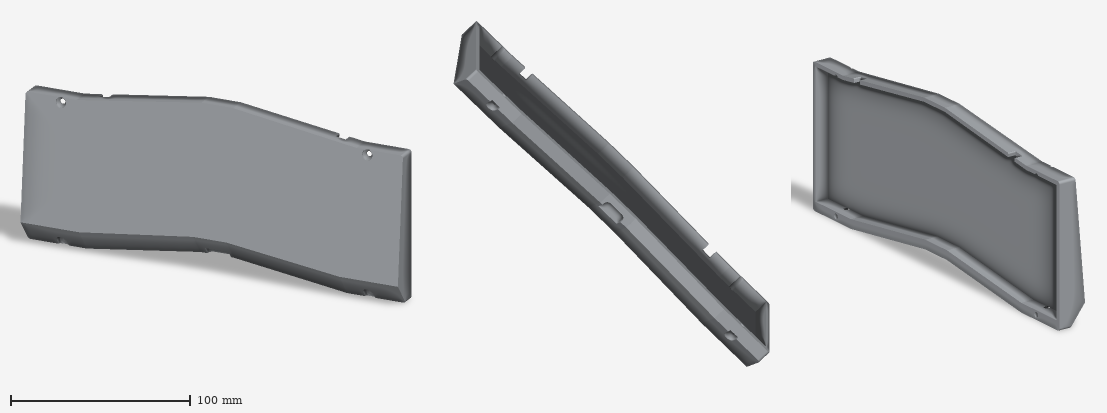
import cadquery as cq
import math

LENGTH = 233.3
HEIGHT = 100.0
MAX_DEPTH = 17.7
CORNER_RADIUS = 1.6
SHOULDER_RADIUS = 5.0
SWEEP = math.tan(math.radians(8.0))
TAPER = math.tan(math.radians(5.0))

TOP_CENTER_X = 1.5
TOP_FLAT_HALF = 9.8
TOP_FLANK_END = 86.5
BOTTOM_FLAT_HALF = 10.3
BOTTOM_FLANK_END = 80.5
SHOULDER_Z = HEIGHT - (TOP_FLANK_END - TOP_FLAT_HALF) * SWEEP
BOTTOM_RISE = 9.5

BEVEL_HEIGHT = 13.3
BOTTOM_LIP = 7.5
BEVEL_SLOPE = BEVEL_HEIGHT / (MAX_DEPTH - BOTTOM_LIP)

WALL = 2.5
BOTTOM_WALL = 5.8
RECESS_DEPTH = 8.5

SCREW_X = 94.7
TOP_SCREW_Z = SHOULDER_Z - 3.0
BOTTOM_SCREW_Z = 3.0
SCREW_DIAMETER = 3.3
HEAD_DIAMETER = 6.3
TOP_SEAT_DEPTH = 10.5
BOTTOM_SEAT_DEPTH = 6.0

NOTCH_CENTER_X = 1.9
NOTCH_OFFSET = 73.2
NOTCH_WIDTH = 5.8
NOTCH_DEPTH = 5.0
NOTCH_MOUTH_RADIUS = 0.7

POCKET_CENTER_X = 1.5
POCKET_WIDTH = 14.5
POCKET_HEIGHT = 4.2
POCKET_BACK = 3.7
POCKET_RADIUS = 2.8

MARGIN = 2.3


def winged_edge(center, half_length, flat_half, flank_end, z_end, z_middle):
    """Left-to-right points of one long edge."""
    return [
        (-half_length, z_end),
        (center - flank_end, z_end),
        (center - flat_half, z_middle),
        (center + flat_half, z_middle),
        (center + flank_end, z_end),
        (half_length, z_end),
    ]


def bottom_edge(half_length, offset):
    return winged_edge(0, half_length, BOTTOM_FLAT_HALF, BOTTOM_FLANK_END, offset, BOTTOM_RISE + offset)


def top_edge(half_length, offset):
    return winged_edge(
        TOP_CENTER_X, half_length, TOP_FLAT_HALF, TOP_FLANK_END, SHOULDER_Z - offset, HEIGHT - offset
    )


def winged_plate(side_wall, bottom_wall, top_wall, depth):
    """Plate from the back plane to the given depth, inset from the outer edges."""
    half_length = LENGTH / 2 - side_wall
    points = bottom_edge(half_length, bottom_wall) + top_edge(half_length, top_wall)[::-1]
    return cq.Workplane("XZ").polyline(points).close().extrude(depth)


def box_between(x_range, y_range, z_range):
    size = [high - low for low, high in (x_range, y_range, z_range)]
    corner = (x_range[0], y_range[0], z_range[0])
    return cq.Workplane("XY").box(*size, centered=False).translate(corner)


def tapered_envelope():
    """Wedge with a vertical back and a leaning front face."""
    z_low = -MARGIN
    z_high = HEIGHT + MARGIN

    def front_y(z):
        return -MAX_DEPTH + (z - BEVEL_HEIGHT) * TAPER

    return (
        cq.Workplane("YZ", origin=(-LENGTH / 2 - MARGIN, 0, 0))
        .polyline([(0, z_low), (front_y(z_low), z_low), (front_y(z_high), z_high), (0, z_high)])
        .close()
        .extrude(LENGTH + 2 * MARGIN)
    )


def cut_bevel(body):
    """Cut a triangular section along each stretch of the bottom edge, mitred at the bends."""
    reach = MAX_DEPTH - BOTTOM_LIP + MARGIN
    drop = MARGIN * BEVEL_SLOPE
    stations = bottom_edge(LENGTH / 2 + MARGIN, 0)
    for (x, z), (next_x, next_z) in zip(stations, stations[1:]):
        corners = [
            cq.Vector(x, -BOTTOM_LIP + MARGIN, z - drop),
            cq.Vector(x, -BOTTOM_LIP - reach, z - drop),
            cq.Vector(x, -BOTTOM_LIP - reach, z + reach * BEVEL_SLOPE),
        ]
        section = cq.Wire.makePolygon(corners, close=True)
        stretch = cq.Vector(next_x - x, 0, next_z - z)
        body = body.cut(cq.Workplane(cq.Solid.extrudeLinear(section, [], stretch)))
    return body


def screw_cutter(x, z, seat_depth):
    """Through hole with a 90 degree seat and a straight head clearance."""
    hole_radius = SCREW_DIAMETER / 2
    head_radius = HEAD_DIAMETER / 2
    seat_start = seat_depth - (head_radius - hole_radius)
    profile = [
        (0, MARGIN),
        (hole_radius, MARGIN),
        (hole_radius, -seat_start),
        (head_radius, -seat_depth),
        (head_radius, -MAX_DEPTH),
        (0, -MAX_DEPTH),
    ]
    cutter = cq.Workplane("XY").polyline(profile).close().revolve(360, (0, 0), (0, 1))
    return cutter.translate((x, 0, z))


def head_relief(x):
    """Opens a lower screw-head clearance through the bottom edge."""
    return box_between(
        (x - HEAD_DIAMETER / 2, x + HEAD_DIAMETER / 2),
        (-MAX_DEPTH, -BOTTOM_SEAT_DEPTH),
        (-MARGIN, BOTTOM_SCREW_Z),
    )


def notch_cutter(side):
    """Notch square to the sloping top wall; side is -1 for left, 1 for right."""
    z = SHOULDER_Z + (TOP_FLANK_END - NOTCH_OFFSET) * SWEEP
    plane = cq.Plane(
        origin=(NOTCH_CENTER_X + side * NOTCH_OFFSET, 0, z),
        xDir=(1, 0, -side * SWEEP),
        normal=(0, -1, 0),
    )
    half = NOTCH_WIDTH / 2
    radius = NOTCH_MOUTH_RADIUS
    mouth_half = half + radius
    bottom = -WALL - MARGIN / 2
    arc_inset = radius * (1 - math.sqrt(0.5))
    return (
        cq.Workplane(plane)
        .moveTo(-half, bottom)
        .lineTo(half, bottom)
        .lineTo(half, -radius)
        .threePointArc((half + arc_inset, -arc_inset), (mouth_half, 0))
        .lineTo(mouth_half, MARGIN)
        .lineTo(-mouth_half, MARGIN)
        .lineTo(-mouth_half, 0)
        .threePointArc((-half - arc_inset, -arc_inset), (-half, -radius))
        .close()
        .extrude(NOTCH_DEPTH)
    )


def cable_pocket():
    """Blind pocket, open at the bottom and front, with rounded back corners."""
    pocket = box_between(
        (POCKET_CENTER_X - POCKET_WIDTH / 2, POCKET_CENTER_X + POCKET_WIDTH / 2),
        (-MAX_DEPTH, -POCKET_BACK),
        (BOTTOM_RISE - MARGIN, BOTTOM_RISE + POCKET_HEIGHT),
    )
    return pocket.edges("|Z and >Y").fillet(POCKET_RADIUS)


def outer_body():
    plate = winged_plate(0, 0, 0, MAX_DEPTH)
    for end in ("<X", ">X"):
        plate = plate.faces(end).edges("|Y").fillet(CORNER_RADIUS)
    for shoulder_x in (TOP_CENTER_X - TOP_FLANK_END, TOP_CENTER_X + TOP_FLANK_END):
        shoulder = cq.selectors.NearestToPointSelector((shoulder_x, -MAX_DEPTH / 2, SHOULDER_Z))
        plate = plate.edges(shoulder).fillet(SHOULDER_RADIUS)
    return cut_bevel(plate.intersect(tapered_envelope()))


result = outer_body().cut(winged_plate(WALL, BOTTOM_WALL, WALL, RECESS_DEPTH)).cut(cable_pocket())
for side in (-1, 1):
    screw_x = side * SCREW_X
    result = result.cut(notch_cutter(side)).cut(head_relief(screw_x))
    result = result.cut(screw_cutter(screw_x, BOTTOM_SCREW_Z, BOTTOM_SEAT_DEPTH))
    result = result.cut(screw_cutter(screw_x, TOP_SCREW_Z, TOP_SEAT_DEPTH))